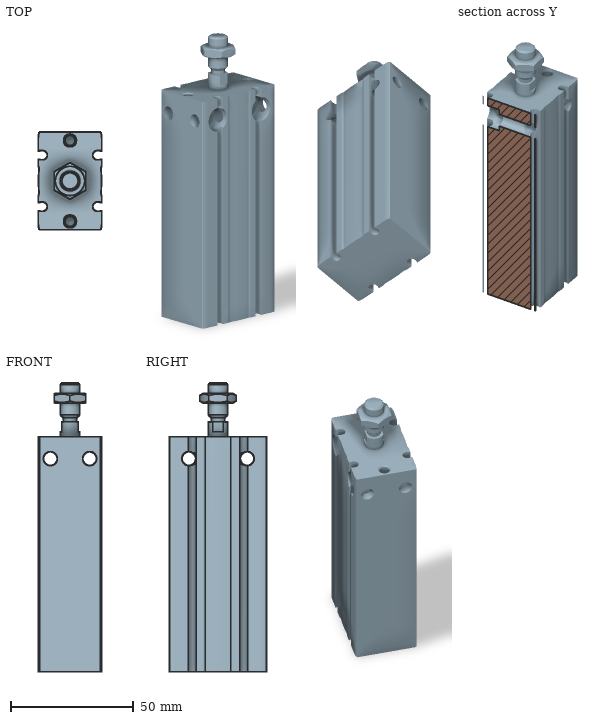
import cadquery as cq
import math

HOUSING_WIDTH = 26.0
HOUSING_DEPTH = 40.0
HOUSING_HEIGHT = 96.0
HALF_WIDTH = HOUSING_WIDTH / 2
HALF_DEPTH = HOUSING_DEPTH / 2

STRIP_START_Y = 17.6
STRIP_RADIUS = 7.1
CORNER_CHAMFER = 0.4

RECESS_HALF_MOUTH = 6.1
RECESS_HALF_FLOOR = 5.2
RECESS_DEPTH = 0.3
RECESS_BULGE = 0.2

SLOT_OFFSET_Y = 10.5
SLOT_MOUTH_WIDTH = 3.2
SLOT_LIP = 0.6
SLOT_WIDTH = 3.7
SLOT_DEPTH = 3.7

MOUNT_HOLE_DIAMETER = 5.5
MOUNT_HOLE_Z = 87.1
SIDE_HOLE_OFFSET_Y = 11.9
FACE_HOLE_OFFSET_X = 8.0
COUNTERBORE_DIAMETER = 10.0
COUNTERBORE_DEPTH = 8.0

TAP_OFFSET_Y = 16.5
TAP_DIAMETER = 4.1
TAP_MOUTH_DIAMETER = 5.3
TAP_DEPTH = 9.4
DRILL_POINT_ANGLE = 118.0

ROD_DIAMETER = 8.0
ROD_TOP_Z = 118.0
ROD_TIP_CHAMFER = 0.7
NECK_DIAMETER = 5.5
NECK_BOTTOM_Z = 102.1
NECK_TOP_Z = 103.7
FLAT_BOTTOM_Z = 98.0
ACROSS_ROD_FLATS = 6.8

NUT_ACROSS_FLATS = 13.0
NUT_THICKNESS = 4.0
NUT_TOP_Z = 113.8
NUT_FACE_DIAMETER = 11.9
NUT_CHAMFER_ANGLE = 30.0


def housing_blank():
    """Extruded block with arc strips and small chamfers at the vertical corners."""
    strip_end_y = HALF_DEPTH - CORNER_CHAMFER
    end_angle = math.asin((strip_end_y - STRIP_START_Y) / STRIP_RADIUS)
    centre_x = HALF_WIDTH - STRIP_RADIUS
    strip_end_x = centre_x + STRIP_RADIUS * math.cos(end_angle)
    strip_mid_x = centre_x + STRIP_RADIUS * math.cos(end_angle / 2)
    strip_mid_y = STRIP_START_Y + STRIP_RADIUS * math.sin(end_angle / 2)
    face_end_x = strip_end_x - CORNER_CHAMFER
    return (
        cq.Workplane("XY")
        .moveTo(0, HALF_DEPTH)
        .lineTo(face_end_x, HALF_DEPTH)
        .lineTo(strip_end_x, strip_end_y)
        .threePointArc((strip_mid_x, strip_mid_y), (HALF_WIDTH, STRIP_START_Y))
        .lineTo(HALF_WIDTH, -STRIP_START_Y)
        .threePointArc((strip_mid_x, -strip_mid_y), (strip_end_x, -strip_end_y))
        .lineTo(face_end_x, -HALF_DEPTH)
        .lineTo(0, -HALF_DEPTH)
        .mirrorY()
        .extrude(HOUSING_HEIGHT)
    )


def side_recess(side):
    """Full-height cutter for the shallow recess; side is +1 or -1 along X."""
    floor_x = HALF_WIDTH - RECESS_DEPTH
    return (
        cq.Workplane("XY")
        .moveTo(side * HALF_WIDTH, -RECESS_HALF_MOUTH)
        .lineTo(side * floor_x, -RECESS_HALF_FLOOR)
        .threePointArc((side * (floor_x + RECESS_BULGE), 0), (side * floor_x, RECESS_HALF_FLOOR))
        .lineTo(side * HALF_WIDTH, RECESS_HALF_MOUTH)
        .close()
        .extrude(HOUSING_HEIGHT)
    )


def sensor_slot(side, centre_y):
    """Full-height cutter for one sensor slot; side is +1 or -1 along X."""
    lip_x = side * (HALF_WIDTH - SLOT_LIP)
    bottom_x = side * (HALF_WIDTH - SLOT_DEPTH)
    round_x = side * (HALF_WIDTH - SLOT_DEPTH + SLOT_WIDTH / 2)
    mouth = SLOT_MOUTH_WIDTH / 2
    channel = SLOT_WIDTH / 2
    return (
        cq.Workplane("XY")
        .moveTo(side * HALF_WIDTH, centre_y - mouth)
        .lineTo(lip_x, centre_y - mouth)
        .lineTo(lip_x, centre_y - channel)
        .lineTo(round_x, centre_y - channel)
        .threePointArc((bottom_x, centre_y), (round_x, centre_y + channel))
        .lineTo(lip_x, centre_y + channel)
        .lineTo(lip_x, centre_y + mouth)
        .lineTo(side * HALF_WIDTH, centre_y + mouth)
        .close()
        .extrude(HOUSING_HEIGHT)
    )


def side_hole(centre_y):
    """Cutter for a hole along X, counterbored on the -X side."""
    start = cq.Workplane("YZ", origin=(-HALF_WIDTH, centre_y, MOUNT_HOLE_Z))
    bore = start.circle(MOUNT_HOLE_DIAMETER / 2).extrude(HOUSING_WIDTH)
    counterbore = start.circle(COUNTERBORE_DIAMETER / 2).extrude(COUNTERBORE_DEPTH)
    return bore.union(counterbore)


def face_hole(centre_x):
    """Cutter for a plain hole along Y."""
    start = cq.Workplane("XZ", origin=(centre_x, HALF_DEPTH, MOUNT_HOLE_Z))
    return start.circle(MOUNT_HOLE_DIAMETER / 2).extrude(HOUSING_DEPTH)


def tapped_hole(centre_y):
    """Cutter for a blind hole in the top face with a countersunk mouth and a drill point."""
    radius = TAP_DIAMETER / 2
    mouth_radius = TAP_MOUTH_DIAMETER / 2
    point_depth = radius / math.tan(math.radians(DRILL_POINT_ANGLE / 2))
    return (
        cq.Workplane("XZ", origin=(0, centre_y, HOUSING_HEIGHT))
        .moveTo(0, 0)
        .lineTo(mouth_radius, 0)
        .lineTo(radius, radius - mouth_radius)
        .lineTo(radius, -TAP_DEPTH)
        .lineTo(0, -TAP_DEPTH - point_depth)
        .close()
        .revolve(360, (0, 0), (0, 1))
    )


def make_housing():
    housing = housing_blank()
    for side in (-1, 1):
        housing = housing.cut(side_recess(side))
        housing = housing.cut(face_hole(side * FACE_HOLE_OFFSET_X))
        housing = housing.cut(side_hole(side * SIDE_HOLE_OFFSET_Y))
        housing = housing.cut(tapped_hole(side * TAP_OFFSET_Y))
        for end in (-1, 1):
            housing = housing.cut(sensor_slot(side, end * SLOT_OFFSET_Y))
    return housing


def make_rod():
    """Turned rod standing on the housing, with a neck and two wrench flats below it."""
    radius = ROD_DIAMETER / 2
    neck_radius = NECK_DIAMETER / 2
    cone_top_z = NECK_TOP_Z + radius - neck_radius
    rod = (
        cq.Workplane("XZ")
        .moveTo(0, HOUSING_HEIGHT)
        .lineTo(radius, HOUSING_HEIGHT)
        .lineTo(radius, NECK_BOTTOM_Z)
        .lineTo(neck_radius, NECK_BOTTOM_Z)
        .lineTo(neck_radius, NECK_TOP_Z)
        .lineTo(radius, cone_top_z)
        .lineTo(radius, ROD_TOP_Z - ROD_TIP_CHAMFER)
        .lineTo(radius - ROD_TIP_CHAMFER, ROD_TOP_Z)
        .lineTo(0, ROD_TOP_Z)
        .close()
        .revolve(360, (0, 0), (0, 1))
    )
    flat_cutter = cq.Workplane("XY").box(
        ROD_DIAMETER, ROD_DIAMETER, NECK_BOTTOM_Z - FLAT_BOTTOM_Z, centered=(True, True, False)
    )
    flat_cutter_x = (ACROSS_ROD_FLATS + ROD_DIAMETER) / 2
    for side in (-1, 1):
        rod = rod.cut(flat_cutter.translate((side * flat_cutter_x, 0, FLAT_BOTTOM_Z)))
    return rod


def make_nut():
    """Hexagon nut with flats facing X, its corners turned down on both ends."""
    across_corners = NUT_ACROSS_FLATS / math.cos(math.radians(30))
    corner_radius = across_corners / 2
    face_radius = NUT_FACE_DIAMETER / 2
    corner_drop = (corner_radius - face_radius) * math.tan(math.radians(NUT_CHAMFER_ANGLE))
    bottom_z = NUT_TOP_Z - NUT_THICKNESS
    hexagon = (
        cq.Workplane("XY", origin=(0, 0, bottom_z))
        .transformed(rotate=(0, 0, 90))
        .polygon(6, across_corners)
        .circle(ROD_DIAMETER / 2)
        .extrude(NUT_THICKNESS)
    )
    turned_envelope = (
        cq.Workplane("XZ")
        .moveTo(0, bottom_z)
        .lineTo(face_radius, bottom_z)
        .lineTo(corner_radius, bottom_z + corner_drop)
        .lineTo(corner_radius, NUT_TOP_Z - corner_drop)
        .lineTo(face_radius, NUT_TOP_Z)
        .lineTo(0, NUT_TOP_Z)
        .close()
        .revolve(360, (0, 0), (0, 1))
    )
    return hexagon.intersect(turned_envelope)


housing = make_housing()
rod = make_rod()
nut = make_nut()

result = cq.Compound.makeCompound([housing.val(), rod.val(), nut.val()])